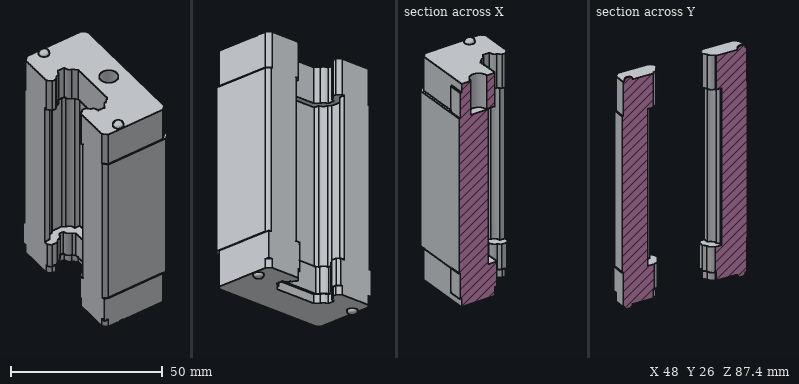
import cadquery as cq
import math


total_length = 87.4
screw_head_height = 1.3
seal_thickness = 3.2
cap_length = 9.7
end_z = total_length / 2 - screw_head_height
seal_z = end_z - seal_thickness
body_z = seal_z - cap_length

body_half_width = 48.0 / 2
body_depth = 26.0
body_front_chamfer = 1.4
body_back_chamfer = 1.5
cap_half_width = 23.7
cap_depth = 25.0
cap_chamfer = 1.6

slot_mid_y = 7.1

body_slot_half_width = 11.0
body_roof_y = 14.1
ball_groove_radius = 2.2
ball_groove_offset = 2.8
pocket_half_width = 14.1
pocket_half_height = 1.8

seal_lip = 8.65
seal_lip_chamfer = 1.5
seal_roof_y = 11.6
seal_recess = 11.9
seal_recess_half_height = 1.3
seal_bump_start = (9.9, 3.1)
seal_bump_end = (11.2, 1.6)
bump_sag = 0.35

cap_lip = 8.4
cap_lip_chamfer = 1.1
cap_roof_y = 10.8
cap_recess = 11.6
cap_recess_half_height = 0.9
cap_bump_start = (9.4, 2.9)
cap_bump_end = (11.0, 1.05)

strip_height = 0.6
strip_half_width = 5.5
strip_bevel = 0.3

port_radius = 3.15
port_y = 18.1
screw_x = 21.6
screw_y = 7.0
screw_radius = 1.8
screw_dome_radius = 1.2


def outer_block(half_width, depth, front_chamfer, back_chamfer, z_low, z_high):
    """Rectangular block on Y = 0 with chamfered long edges."""
    block = cq.Workplane("XY").box(
        2 * half_width, depth, z_high - z_low, centered=(True, False, False)
    ).translate((0, 0, z_low))
    block = block.faces(">Y").edges("|Z").chamfer(back_chamfer)
    if front_chamfer > 0:
        block = block.faces("<Y").edges("|Z").chamfer(front_chamfer)
    return block


def symmetric_slot(half_wire, z_low, z_high):
    """Rail slot cutter made from the +X half of its outline."""
    half = cq.Workplane("XY").add(half_wire).toPending().extrude(z_high - z_low)
    half = half.translate((0, 0, z_low))
    return half.union(half.mirror("YZ"))


def body_slot_half():
    """+X half of the body slot: lip, ball groove, pocket, ball groove, roof."""
    lip = body_slot_half_width
    groove_x = lip + ball_groove_radius
    groove_outer = ball_groove_offset + ball_groove_radius
    diagonal = ball_groove_radius * math.sqrt(0.5)
    groove_middle = ball_groove_offset + diagonal
    return (
        cq.Workplane("XY")
        .lineTo(lip, 0)
        .lineTo(lip, slot_mid_y - groove_outer)
        .threePointArc(
            (lip + diagonal, slot_mid_y - groove_middle), (groove_x, slot_mid_y - ball_groove_offset)
        )
        .lineTo(pocket_half_width, slot_mid_y - pocket_half_height)
        .lineTo(pocket_half_width, slot_mid_y + pocket_half_height)
        .lineTo(groove_x, slot_mid_y + ball_groove_offset)
        .threePointArc(
            (lip + diagonal, slot_mid_y + groove_middle), (lip, slot_mid_y + groove_outer)
        )
        .lineTo(lip, body_roof_y)
        .lineTo(0, body_roof_y)
        .close()
        .val()
    )


def end_slot_half(lip, lip_chamfer, recess, recess_half_height, roof_y, bump_start, bump_end):
    """+X half of a seal or cap slot: lip, bump, recess, bump, 45-degree corner, roof.

    A bump runs between two points given as (X, height from slot_mid_y).
    """
    x_start, y_start = bump_start
    x_end, y_end = bump_end
    chord = math.hypot(x_end - x_start, y_start - y_end)
    x_middle = (x_start + x_end) / 2 - bump_sag * (y_start - y_end) / chord
    y_middle = (y_start + y_end) / 2 - bump_sag * (x_end - x_start) / chord
    lip_top = slot_mid_y - y_start - (x_start - lip)
    roof_half_width = x_start - (roof_y - slot_mid_y - y_start)
    return (
        cq.Workplane("XY")
        .lineTo(lip + lip_chamfer, 0)
        .lineTo(lip, lip_chamfer)
        .lineTo(lip, lip_top)
        .lineTo(x_start, slot_mid_y - y_start)
        .threePointArc((x_middle, slot_mid_y - y_middle), (x_end, slot_mid_y - y_end))
        .lineTo(recess, slot_mid_y - recess_half_height)
        .lineTo(recess, slot_mid_y + recess_half_height)
        .lineTo(x_end, slot_mid_y + y_end)
        .threePointArc((x_middle, slot_mid_y + y_middle), (x_start, slot_mid_y + y_start))
        .lineTo(roof_half_width, roof_y)
        .lineTo(0, roof_y)
        .close()
        .val()
    )


def back_strip(z_low, z_high):
    """Shallow bevelled strip on the back of an end cap, rooted inside the cap."""
    top_half_width = strip_half_width - strip_bevel
    top_y = cap_depth + strip_height
    root_y = cap_depth - strip_height
    outline = cq.Workplane("XY").workplane(offset=z_low).polyline([
        (-strip_half_width, root_y),
        (strip_half_width, root_y),
        (strip_half_width, cap_depth),
        (top_half_width, top_y),
        (-top_half_width, top_y),
        (-strip_half_width, cap_depth),
    ])
    return outline.close().extrude(z_high - z_low)


def screw_head():
    """Domed screw head sitting on Z = 0."""
    head = cq.Workplane("XY").circle(screw_radius).extrude(screw_head_height)
    return head.faces(">Z").edges().fillet(screw_dome_radius)


body_block = outer_block(
    body_half_width, body_depth, body_front_chamfer, body_back_chamfer, -body_z, body_z
)
result = body_block.cut(symmetric_slot(body_slot_half(), -body_z, body_z))

seal_slot = end_slot_half(
    seal_lip, seal_lip_chamfer, seal_recess, seal_recess_half_height,
    seal_roof_y, seal_bump_start, seal_bump_end,
)
lower_cap_slot = end_slot_half(
    cap_lip, cap_lip_chamfer, cap_recess, cap_recess_half_height,
    cap_roof_y, cap_bump_start, cap_bump_end,
)
end_sections = [
    (seal_slot, cap_chamfer, body_z, end_z),
    (lower_cap_slot, 0, -seal_z, -body_z),
    (seal_slot, cap_chamfer, -end_z, -seal_z),
]
for slot_half, front_chamfer, z_low, z_high in end_sections:
    section = outer_block(cap_half_width, cap_depth, front_chamfer, cap_chamfer, z_low, z_high)
    result = result.union(section.cut(symmetric_slot(slot_half, z_low, z_high)))

for z_low, z_high in [(body_z, seal_z), (-seal_z, -body_z)]:
    result = result.union(back_strip(z_low, z_high))

port = cq.Workplane("XY").workplane(offset=body_z).center(0, port_y).circle(port_radius)
result = result.cut(port.extrude(end_z - body_z))

upper_head = screw_head().translate((0, screw_y, end_z))
lower_head = upper_head.mirror("XY")
for x in (-screw_x, screw_x):
    result = result.union(upper_head.translate((x, 0, 0)))
    result = result.union(lower_head.translate((x, 0, 0)))